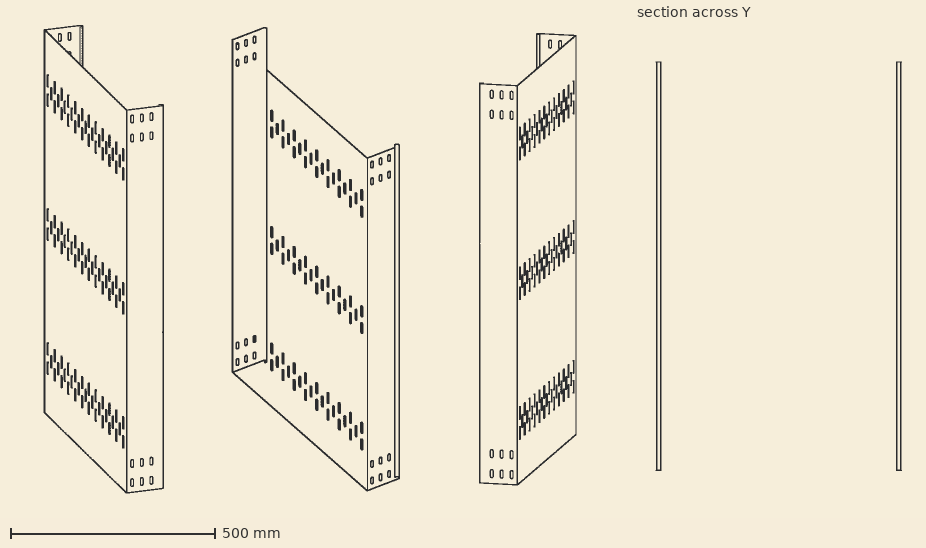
import cadquery as cq

width = 600.0
depth = 98.0
height = 1000.0
sheet = 2.0

lip_radius = 6.0
lip_leg = 3.0

pitch = 50.0
slot_width = 7.0

base_slot_length = 32.0
band_spacing = 350.0
outer_columns = 12
inner_columns = 11

side_slot_length = 20.0
side_slot_margin = 12.0
side_first_row = side_slot_margin + slot_width / 2
side_row_step = pitch / 2
side_rows = 3
side_end_distances = (pitch / 2, 3 * pitch / 2)

half_width = width / 2
base_front = -depth / 2
base_back = base_front + sheet
slot_cut_depth = 3 * sheet
lip_top = depth / 2
lip_spring = lip_top - lip_radius


def side_wall():
    """Right-hand wall with its edge rolled half a turn inward and a short straight leg."""
    outer_x = half_width
    inner_x = half_width - sheet
    arc_center_x = half_width - lip_radius
    leg_outer_x = half_width - 2 * lip_radius
    leg_inner_x = leg_outer_x + sheet
    leg_end = lip_spring - lip_leg
    return (
        cq.Workplane("XY", origin=(0, 0, -height / 2))
        .moveTo(outer_x, base_front)
        .lineTo(outer_x, lip_spring)
        .threePointArc((arc_center_x, lip_top), (leg_outer_x, lip_spring))
        .lineTo(leg_outer_x, leg_end)
        .lineTo(leg_inner_x, leg_end)
        .lineTo(leg_inner_x, lip_spring)
        .threePointArc((arc_center_x, lip_top - sheet), (inner_x, lip_spring))
        .lineTo(inner_x, base_front)
        .close()
        .extrude(height)
    )


def tray():
    """Flat base with a mirrored pair of side walls."""
    base = cq.Workplane("XY").box(width, sheet, height).translate((0, base_front + sheet / 2, 0))
    wall = side_wall()
    return base.union(wall).union(wall.mirror("YZ"))


def base_slots():
    """Three bands, each with a row of slots between two rows staggered by half a pitch."""
    points = []
    for band in (-1, 0, 1):
        for row in (-1, 0, 1):
            columns = inner_columns if row == 0 else outer_columns
            z = band * band_spacing + row * pitch / 2
            for column in range(columns):
                x = (column - (columns - 1) / 2) * pitch
                points.append((x, z))
    return (
        cq.Workplane("XZ", origin=(0, base_back + sheet, 0))
        .pushPoints(points)
        .slot2D(base_slot_length, slot_width, 90)
        .extrude(slot_cut_depth)
    )


def side_slots():
    """Two rows of slots at each end, passing through both side walls."""
    points = []
    for row in range(side_rows):
        y = base_front + side_first_row + row * side_row_step
        for distance in side_end_distances:
            z = height / 2 - distance
            points += [(y, z), (y, -z)]
    return (
        cq.Workplane("YZ")
        .pushPoints(points)
        .slot2D(side_slot_length, slot_width, 90)
        .extrude(width, both=True)
    )


result = tray().cut(base_slots()).cut(side_slots())